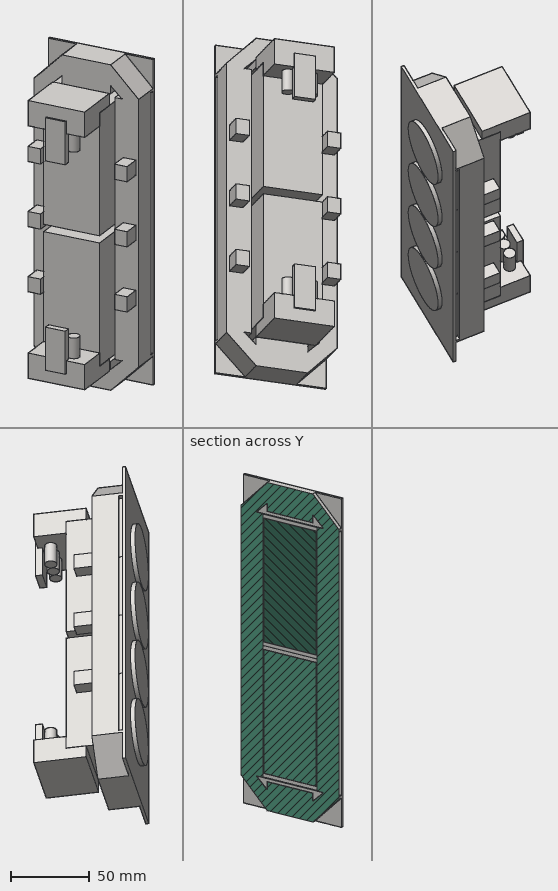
import cadquery as cq


panel_width = 75.0
panel_length = 225.0
plate_thickness = 2.0
housing_front_y = -21.9
corner_cut = 20.0
opening_width = 41.0
opening_length = 181.0
end_recess_length = 2.0
corner_pocket_x = 17.5
corner_pocket_width = 8.0
corner_pocket_length = 7.5

foot_width = 9.0
foot_height = 10.5
foot_length = 12.0
foot_offset_x = 31.0

button_count = 4
button_pitch = 45.0
button_base_width = 70.0
button_base_thickness = 2.6
button_diameter = 43.0
button_protrusion = 2.92
button_base_y = -plate_thickness - button_base_thickness

module_width = 40.0
module_length = 85.0
module_gap = 5.0
module_front_y = -42.0
module_inner_z = module_gap / 2
module_outer_z = module_inner_z + module_length

latch_width = 40.5
latch_rear_y = -29.0
latch_front_y = -63.0
latch_outer_z = 96.0
latch_height = 17.5
latch_inner_z = latch_outer_z - latch_height
pin_diameter = 7.75
pin_length = 14.25
pin_spacing = 8.0
pin_y = -54.4
tab_width = 14.2
tab_length = 29.75
tab_outer_z = 87.25
tab_rear_y = -60.0
tab_front_y = -64.5


def block(width, y_range, z_range):
    """Box centred on X = 0 between the given Y and Z limits."""
    y_low, y_high = y_range
    z_low, z_high = z_range
    box = cq.Workplane("XY").box(width, y_high - y_low, z_high - z_low, centered=(True, False, False))
    return box.translate((0, y_low, z_low))


def facing_back(y):
    """Workplane at the given Y, with local x = X and y = Z, extruding towards -Y."""
    return cq.Workplane("XZ", origin=(0, y, 0))


def button_centres():
    return [(index - (button_count - 1) / 2) * button_pitch for index in range(button_count)]


def make_housing():
    housing = facing_back(0).rect(panel_width, panel_length).extrude(plate_thickness)

    body_depth = -plate_thickness - housing_front_y
    body = (
        facing_back(-plate_thickness)
        .rect(panel_width, panel_length)
        .extrude(body_depth)
        .edges("|Y")
        .chamfer(corner_cut)
    )
    housing = housing.union(body)

    slot_end_z = opening_length / 2
    housing = housing.cut(
        block(panel_width, (button_base_y, -plate_thickness), (-slot_end_z, slot_end_z))
    )

    window_points = [(0, z) for z in button_centres()]
    housing = housing.cut(
        facing_back(0).pushPoints(window_points).circle(button_diameter / 2).extrude(plate_thickness)
    )

    opening_depth = button_base_y - housing_front_y
    housing = housing.cut(
        facing_back(button_base_y).rect(opening_width, opening_length).extrude(opening_depth)
    )

    recess_span = opening_length + 2 * end_recess_length
    housing = housing.cut(
        facing_back(button_base_y).rect(2 * corner_pocket_x, recess_span).extrude(opening_depth)
    )

    corner_z = opening_length / 2
    for side_x in (-1, 1):
        for side_z in (-1, 1):
            pocket = (
                facing_back(button_base_y)
                .moveTo(side_x * corner_pocket_x, side_z * corner_z)
                .lineTo(side_x * (corner_pocket_x + corner_pocket_width), side_z * corner_z)
                .lineTo(side_x * corner_pocket_x, side_z * (corner_z + corner_pocket_length))
                .close()
                .extrude(opening_depth)
            )
            housing = housing.cut(pocket)

    foot_points = [
        (side_x * foot_offset_x, row * button_pitch) for side_x in (-1, 1) for row in (-1, 0, 1)
    ]
    feet = (
        facing_back(housing_front_y)
        .pushPoints(foot_points)
        .rect(foot_width, foot_height)
        .extrude(foot_length)
    )
    return housing.union(feet)


def make_button(centre_z):
    half_pitch = button_pitch / 2
    base = block(
        button_base_width,
        (button_base_y, -plate_thickness),
        (centre_z - half_pitch, centre_z + half_pitch),
    )
    cap = (
        facing_back(button_protrusion)
        .center(0, centre_z)
        .circle(button_diameter / 2)
        .extrude(button_protrusion + plate_thickness)
    )
    return base.union(cap)


def make_module():
    """Upper module."""
    return block(module_width, (module_front_y, button_base_y), (module_inner_z, module_outer_z))


def make_latch():
    """Upper latch: a block hooked over the module's end, with three pins and a tab."""
    latch = block(latch_width, (latch_front_y, latch_rear_y), (latch_inner_z, latch_outer_z))
    latch = latch.cut(
        block(latch_width, (module_front_y, latch_rear_y), (latch_inner_z, module_outer_z))
    )
    pins = (
        cq.Workplane("XY", origin=(0, pin_y, latch_inner_z))
        .pushPoints([(column * pin_spacing, 0) for column in (-1, 0, 1)])
        .circle(pin_diameter / 2)
        .extrude(-pin_length)
    )
    tab = block(tab_width, (tab_front_y, tab_rear_y), (tab_outer_z - tab_length, tab_outer_z))
    return latch.union(pins).union(tab)


housing = make_housing()
buttons = [make_button(z) for z in button_centres()]
upper_module = make_module()
upper_latch = make_latch()
modules = [upper_module, upper_module.mirror("XY")]
latches = [upper_latch, upper_latch.mirror("XY")]

bodies = [housing, *buttons, *modules, *latches]
result = cq.Compound.makeCompound([body.val() for body in bodies])